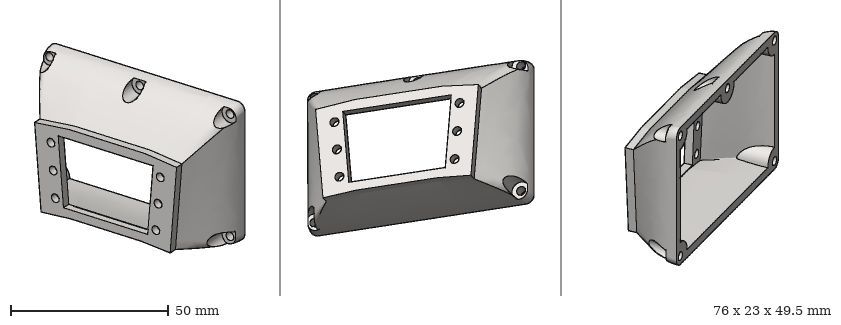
import cadquery as cq
import math

WIDTH = 76.0
HEIGHT = 49.5
DEPTH = 23.0
PLATE_THICKNESS = 3.0
WALL = 3.0
CORNER_RADIUS = 3.0
SHELL_DEPTH = DEPTH - PLATE_THICKNESS

PLATE_TOP_HALF = 27.6
PLATE_BOTTOM_HALF = 25.1
PLATE_CORNER_TOP = 8.4
PLATE_CORNER_BOTTOM = -22.8
PLATE_CROWN_TOP = 9.8
PLATE_CROWN_BOTTOM = -21.9
CROWN_TOP_LEFT = -14.2
CROWN_TOP_RIGHT = 15.3
CROWN_BOTTOM_HALF = 13.7

BACK_TOP_LEFT = -17.7
BACK_TOP_RIGHT = 25.85
BACK_BOTTOM_LEFT = -21.65
BACK_BOTTOM_RIGHT = 15.0

SHARP_CORNER = 0.2
TOP_RIGHT_FLAT = 4.1
BOTTOM_RIGHT_FLAT = 2.7

END_SLOPE = 1.45
LOFT_STEPS = 4

WINDOW_TOP = 6.3
WINDOW_BOTTOM = -18.7
WINDOW_TOP_HALF = 18.4
WINDOW_BOTTOM_HALF = 16.35
HOLE_DIAMETER = 3.0
PANEL_HOLE_TOP = 3.05
PANEL_HOLE_PITCH = 9.65
PANEL_HOLE_TOP_X = 21.2
PANEL_HOLE_STEP_X = 0.8
PANEL_HOLE_ROWS = 3

MOUNT_X = WIDTH / 2 - CORNER_RADIUS
MOUNT_Z = HEIGHT / 2 - CORNER_RADIUS
COUNTERBORE_DIAMETER = 6.1
COUNTERBORE_SEAT = 4.1
BOSS_DIAMETER = 10.0
MOUNT_POINTS = [
    (-MOUNT_X, MOUNT_Z),
    (0, MOUNT_Z),
    (MOUNT_X, MOUNT_Z),
    (-MOUNT_X, -MOUNT_Z),
    (MOUNT_X, -MOUNT_Z),
]


def toward(start, end, distance):
    """Point at a distance from start along the line to end."""
    length = math.dist(start, end)
    return blend(start, end, distance / length)


def blend(start, end, share):
    return tuple(a + (b - a) * share for a, b in zip(start, end))


def plate_outline(inset=0.0):
    """Eight plate corners, clockwise from the lower left."""
    top_half = PLATE_TOP_HALF - inset
    bottom_half = PLATE_BOTTOM_HALF - inset
    return [
        (-bottom_half, PLATE_CORNER_BOTTOM + inset),
        (-top_half, PLATE_CORNER_TOP - inset),
        (CROWN_TOP_LEFT, PLATE_CROWN_TOP - inset),
        (CROWN_TOP_RIGHT, PLATE_CROWN_TOP - inset),
        (top_half, PLATE_CORNER_TOP - inset),
        (bottom_half, PLATE_CORNER_BOTTOM + inset),
        (CROWN_BOTTOM_HALF, PLATE_CROWN_BOTTOM + inset),
        (-CROWN_BOTTOM_HALF, PLATE_CROWN_BOTTOM + inset),
    ]


def plate_loft_points(inset):
    """Plate corners, with each outer corner split in two for the back's corner arcs."""
    (low_left, top_left, crown_left, crown_right,
     top_right, low_right, base_right, base_left) = plate_outline(inset)
    return [
        toward(low_left, top_left, SHARP_CORNER),
        toward(top_left, low_left, SHARP_CORNER),
        top_left,
        crown_left,
        crown_right,
        toward(top_right, crown_right, TOP_RIGHT_FLAT),
        top_right,
        toward(low_right, top_right, BOTTOM_RIGHT_FLAT),
        low_right,
        base_right,
        base_left,
        low_left,
    ]


def back_loft_points(inset, radius):
    """Rounded rectangle points matching the plate points one to one."""
    x = WIDTH / 2 - inset
    z = HEIGHT / 2 - inset
    return [
        (-x, -z + radius),
        (-x, z - radius),
        (-x + radius, z),
        (BACK_TOP_LEFT, z),
        (BACK_TOP_RIGHT, z),
        (x - radius, z),
        (x, z - radius),
        (x, -z + radius),
        (x - radius, -z),
        (BACK_BOTTOM_RIGHT, -z),
        (BACK_BOTTOM_LEFT, -z),
        (-x + radius, -z),
    ]


CORNER_EDGES = (1, 5, 7, 11)


def section(inset, radius, step):
    """Closed outline part way from the back to the plate."""
    travel = step / LOFT_STEPS
    share = (3 - END_SLOPE) * travel**2 + (END_SLOPE - 2) * travel**3
    back = back_loft_points(inset, radius)
    plate = plate_loft_points(inset)
    points = [blend(b, p, share) for b, p in zip(back, plate)]
    y = -SHELL_DEPTH * travel
    bulge = radius * (1 - math.sqrt(0.5)) * (1 - share)
    edges = []
    for index, (x1, z1) in enumerate(points):
        x2, z2 = points[(index + 1) % len(points)]
        start = cq.Vector(x1, y, z1)
        end = cq.Vector(x2, y, z2)
        if index in CORNER_EDGES and step < LOFT_STEPS:
            outward = cq.Vector(z1 - z2, 0, x2 - x1).normalized()
            middle = (start + end) * 0.5 + outward * bulge
            edges.append(cq.Edge.makeThreePointArc(start, middle, end))
        else:
            edges.append(cq.Edge.makeLine(start, end))
    return cq.Wire.assembleEdges(edges)


def shell_loft(inset, radius):
    sections = [section(inset, radius, step) for step in range(LOFT_STEPS + 1)]
    return cq.Workplane(cq.Solid.makeLoft(sections))


def prism(points, start, length):
    """Extrude an XZ outline toward -Y, beginning that far in front of the back."""
    return cq.Workplane("XZ", origin=(0, -start, 0)).polyline(points).close().extrude(length)


def cylinders(points, diameter, start, length):
    plane = cq.Workplane("XZ", origin=(0, -start, 0))
    return plane.pushPoints(points).circle(diameter / 2).extrude(length)


INNER_RADIUS = 0.75
outside = shell_loft(0.0, CORNER_RADIUS)
cavity = shell_loft(WALL, INNER_RADIUS)
bosses = cylinders(MOUNT_POINTS, BOSS_DIAMETER, 0, SHELL_DEPTH).intersect(outside)
shell = outside.cut(cavity).union(bosses)

plate = prism(plate_outline(), SHELL_DEPTH, PLATE_THICKNESS)
window_outline = [
    (-WINDOW_TOP_HALF, WINDOW_TOP),
    (WINDOW_TOP_HALF, WINDOW_TOP),
    (WINDOW_BOTTOM_HALF, WINDOW_BOTTOM),
    (-WINDOW_BOTTOM_HALF, WINDOW_BOTTOM),
]
plate = plate.cut(prism(window_outline, SHELL_DEPTH, PLATE_THICKNESS))

panel_points = [
    (side * (PANEL_HOLE_TOP_X - row * PANEL_HOLE_STEP_X), PANEL_HOLE_TOP - row * PANEL_HOLE_PITCH)
    for side in (-1, 1)
    for row in range(PANEL_HOLE_ROWS)
]
plate = plate.cut(cylinders(panel_points, HOLE_DIAMETER, SHELL_DEPTH, PLATE_THICKNESS))

shell = shell.cut(cylinders(MOUNT_POINTS, HOLE_DIAMETER, 0, SHELL_DEPTH))
counterbore_depth = SHELL_DEPTH - COUNTERBORE_SEAT
shell = shell.cut(cylinders(MOUNT_POINTS, COUNTERBORE_DIAMETER, COUNTERBORE_SEAT, counterbore_depth))

result = shell.union(plate)